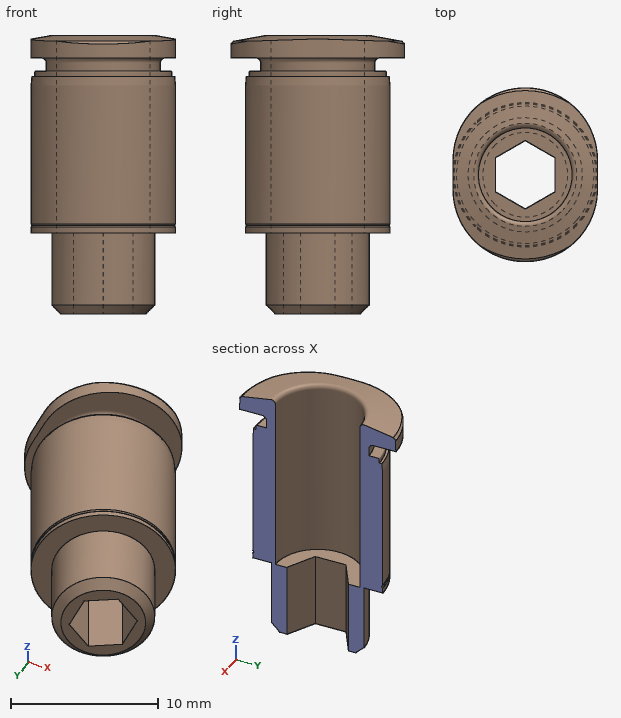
import cadquery as cq
import math

total_height = 18.9
body_diameter = 9.8
head_length = 11.8

stem_diameter = 7.0
stem_chamfer = 0.62
shoulder_z = 5.5
groove_bottom_z = 5.92
groove_top_z = 6.1
groove_depth = (groove_top_z - groove_bottom_z) / 2

body_taper_start_z = 15.5
body_taper = 0.05
step_z = 16.12
lip_diameter = 9.32
lip_top_z = 16.48
lip_fillet = 0.11

neck_diameter = 7.75
neck_fillet = 0.34
head_bottom_z = 17.37
head_rim_radius = 5.7
head_rim_z = 18.5
head_chamfer = head_length / 2 - head_rim_radius

bore_diameter = 6.35
bore_mouth_diameter = 7.0
bore_mouth_round = (bore_mouth_diameter - bore_diameter) / 2
bore_floor_z = shoulder_z
hex_across_flats = 4.0


def make_body():
    """Turned stem, collar, V-groove, body, lip and neck, up to the underside of the head."""
    stem_radius = stem_diameter / 2
    body_radius = body_diameter / 2
    lip_radius = lip_diameter / 2
    neck_radius = neck_diameter / 2
    return (
        cq.Workplane("XZ")
        .moveTo(0, 0)
        .lineTo(stem_radius - stem_chamfer, 0)
        .lineTo(stem_radius, stem_chamfer)
        .lineTo(stem_radius, shoulder_z)
        .lineTo(body_radius, shoulder_z)
        .lineTo(body_radius, groove_bottom_z)
        .lineTo(body_radius - groove_depth, (groove_bottom_z + groove_top_z) / 2)
        .lineTo(body_radius, groove_top_z)
        .lineTo(body_radius, body_taper_start_z)
        .lineTo(body_radius - body_taper, step_z)
        .lineTo(lip_radius, step_z)
        .lineTo(lip_radius, lip_top_z - lip_fillet)
        .radiusArc((lip_radius - lip_fillet, lip_top_z), -lip_fillet)
        .lineTo(neck_radius, lip_top_z)
        .lineTo(neck_radius, head_bottom_z - neck_fillet)
        .radiusArc((neck_radius + neck_fillet, head_bottom_z), neck_fillet)
        .lineTo(0, head_bottom_z)
        .close()
        .revolve(360, (0, 0), (0, 1))
    )


def make_head():
    """Flat-sided head: a slot outline trimmed by a shallow cone with a chamfered rim."""
    slot = (
        cq.Workplane("XY", origin=(0, 0, head_bottom_z))
        .slot2D(head_length, body_diameter, 90)
        .extrude(total_height - head_bottom_z)
    )
    cone = (
        cq.Workplane("XZ")
        .moveTo(0, head_bottom_z)
        .lineTo(head_length / 2, head_bottom_z)
        .lineTo(head_length / 2, head_rim_z - head_chamfer)
        .lineTo(head_rim_radius, head_rim_z)
        .lineTo(bore_mouth_diameter / 2, total_height)
        .lineTo(0, total_height)
        .close()
        .revolve(360, (0, 0), (0, 1))
    )
    return slot.intersect(cone)


def make_bore():
    """Blind tube bore with a rounded mouth."""
    bore_radius = bore_diameter / 2
    return (
        cq.Workplane("XZ")
        .moveTo(0, bore_floor_z)
        .lineTo(bore_radius, bore_floor_z)
        .lineTo(bore_radius, total_height - bore_mouth_round)
        .radiusArc((bore_mouth_diameter / 2, total_height), bore_mouth_round)
        .lineTo(0, total_height)
        .close()
        .revolve(360, (0, 0), (0, 1))
    )


def make_hex_socket():
    """Hexagonal hole from the bore floor through the stem, with corners along Y."""
    across_corners = hex_across_flats / math.cos(math.pi / 6)
    return (
        cq.Workplane("XY")
        .transformed(rotate=(0, 0, 90))
        .polygon(6, across_corners)
        .extrude(bore_floor_z)
    )


result = make_body().union(make_head()).cut(make_bore()).cut(make_hex_socket())